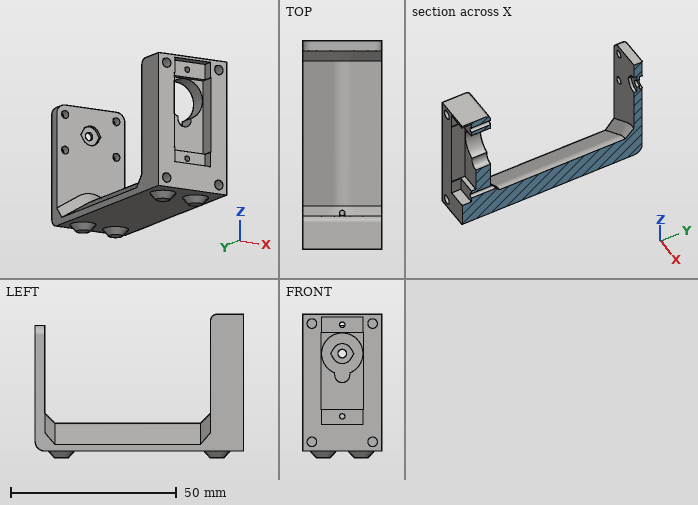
import cadquery as cq
import math

width = 24.0
length = 62.95
block_height = 41.35
block_depth = 10.0
block_edge_radius = 2.0
plate_height = 37.95
plate_thickness = 3.0
plate_corner_radius = 3.0

base_side_height = 2.0
base_apex_height = 9.3
ridge_radius = 5.0
base_chamfer = 3.0

axis_height = 29.45
ear_pocket_width = 12.5
ear_pocket_bottom = 8.1
ear_pocket_top = 40.55
ear_pocket_depth = 3.2
body_pocket_width = 12.9
body_pocket_bottom = 12.65
body_pocket_top = 35.75
body_pocket_depth = 4.8
gear_radius = 6.25
gear_lobe_radius = 2.25
gear_lobe_height = 23.0
servo_screw_radius = 0.8
servo_screw_heights = (10.5, 38.15)

corner_hole_radius = 1.45
corner_hole_inset = 2.85
corner_hole_depth = 4.8

horn_radius = 3.0
horn_tip_angle = 120.0
horn_layer = plate_thickness / 3
horn_screw_radius = 1.25
screw_head_radius = 2.5
plate_hole_radius = 1.2
plate_hole_x = 9.0
plate_hole_rise = 5.55

foot_height = 2.0
foot_top_radius = 3.95
foot_bottom_radius = 2.1
foot_x = 5.7
foot_inset = 8.0

plate_face = length - plate_thickness


def box(size_x, y_start, y_end, z_start, z_end):
    """Box centred on X between the given Y and Z limits."""
    return (
        cq.Workplane("XY")
        .box(size_x, y_end - y_start, z_end - z_start, centered=(True, False, False))
        .translate((0, y_start, z_start))
    )


def bore(radius, x, z, y_start, y_end):
    """Cylinder running along +Y from y_start to y_end."""
    start = cq.Vector(x, y_start, z)
    return cq.Workplane(cq.Solid.makeCylinder(radius, y_end - y_start, start, cq.Vector(0, 1, 0)))


def servo_block():
    block = box(width, 0, block_depth, 0, block_height)
    return block.edges(">Y and >Z").fillet(block_edge_radius)


def back_plate():
    plate = box(width, plate_face, length, 0, plate_height)
    return plate.edges("|Y and >Z").fillet(plate_corner_radius)


def ridged_base():
    """Roof-shaped beam with a rounded ridge, flared by chamfers where it meets both walls."""
    half = width / 2
    slope = math.atan2(base_apex_height - base_side_height, half)
    arc_center = base_apex_height - ridge_radius / math.cos(slope)

    def section(y, offset):
        rise = offset / math.cos(slope)
        radius = ridge_radius + offset
        tangent_x = radius * math.sin(slope)
        tangent_z = arc_center + radius * math.cos(slope)
        return (
            cq.Workplane("XZ", origin=(0, y, 0))
            .moveTo(-half, 0)
            .lineTo(half, 0)
            .lineTo(half, base_side_height + rise)
            .lineTo(tangent_x, tangent_z)
            .threePointArc((0, arc_center + radius), (-tangent_x, tangent_z))
            .lineTo(-half, base_side_height + rise)
            .close()
            .wires()
            .val()
        )

    def flare(wall_y, direction):
        wires = [section(wall_y, base_chamfer), section(wall_y + direction * base_chamfer, 0)]
        return cq.Workplane(cq.Solid.makeLoft(wires, True))

    span = cq.Vector(0, plate_face - block_depth, 0)
    beam = cq.Workplane(cq.Solid.extrudeLinear(section(block_depth, 0), [], span))
    return beam.union(flare(block_depth, 1)).union(flare(plate_face, -1))


def servo_pocket():
    ears = box(ear_pocket_width, 0, ear_pocket_depth, ear_pocket_bottom, ear_pocket_top)
    body = box(body_pocket_width, 0, body_pocket_depth, body_pocket_bottom, body_pocket_top)
    gear = bore(gear_radius, 0, axis_height, 0, block_depth)
    lobe = bore(gear_lobe_radius, 0, gear_lobe_height, 0, block_depth)
    neck = box(2 * gear_lobe_radius, 0, block_depth, gear_lobe_height, axis_height)
    pocket = ears.union(body).union(gear).union(lobe).union(neck)
    for z in servo_screw_heights:
        pocket = pocket.union(bore(servo_screw_radius, 0, z, 0, block_depth + base_chamfer))
    return pocket


def corner_holes():
    holes = cq.Workplane()
    x_edge = width / 2 - corner_hole_inset
    for x in (-x_edge, x_edge):
        for z in (corner_hole_inset, block_height - corner_hole_inset):
            holes = holes.add(bore(corner_hole_radius, x, z, 0, corner_hole_depth))
    return holes.combine()


def horn_seat():
    """Round seat with two pointed tips along X, a screw hole and a screw-head recess behind it."""
    half_tip = math.radians(horn_tip_angle / 2)
    tip = horn_radius / math.sin(half_tip)
    tangent_x = horn_radius * math.sin(half_tip)
    tangent_z = horn_radius * math.cos(half_tip)
    seat = (
        cq.Workplane("XZ", origin=(0, plate_face, axis_height))
        .moveTo(-tip, 0)
        .lineTo(-tangent_x, tangent_z)
        .threePointArc((0, horn_radius), (tangent_x, tangent_z))
        .lineTo(tip, 0)
        .lineTo(tangent_x, -tangent_z)
        .threePointArc((0, -horn_radius), (-tangent_x, -tangent_z))
        .close()
        .extrude(-horn_layer)
    )
    screw = bore(horn_screw_radius, 0, axis_height, plate_face, length)
    head = bore(screw_head_radius, 0, axis_height, length - horn_layer, length)
    return seat.union(screw).union(head)


def plate_holes():
    holes = cq.Workplane()
    for x in (-plate_hole_x, plate_hole_x):
        for z in (axis_height - plate_hole_rise, axis_height + plate_hole_rise):
            holes = holes.add(bore(plate_hole_radius, x, z, plate_face, length))
    return holes.combine()


def foot(x, y):
    down = cq.Vector(0, 0, -1)
    top = cq.Vector(x, y, 0)
    return cq.Workplane(cq.Solid.makeCone(foot_top_radius, foot_bottom_radius, foot_height, top, down))


bracket = servo_block().union(ridged_base()).union(back_plate())
bracket = bracket.edges("|X and >Y and <Z").fillet(plate_corner_radius)

for cutter in (servo_pocket(), corner_holes(), horn_seat(), plate_holes()):
    bracket = bracket.cut(cutter)

for x in (-foot_x, foot_x):
    for y in (foot_inset, length - foot_inset):
        bracket = bracket.union(foot(x, y))

result = bracket